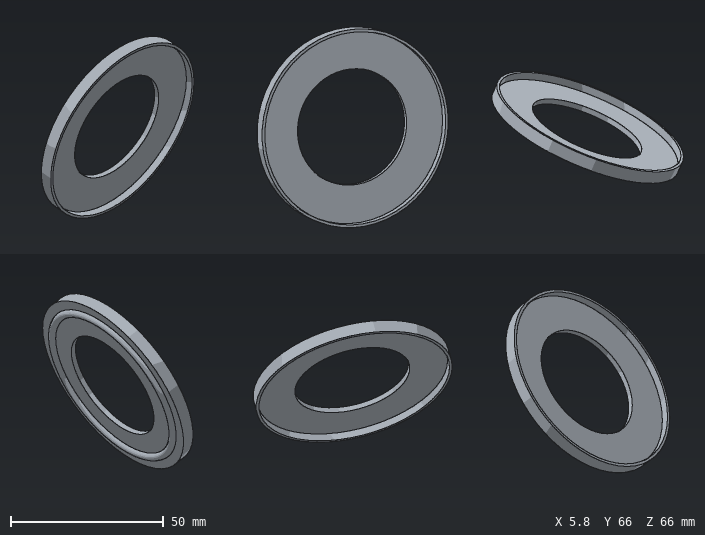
import cadquery as cq

outer_radius = 33.0
bore_radius = 19.3
rim_thickness = 4.4
bore_length = 2.0
cone_rise = 0.2
rim_width = 1.0

bead_height = 1.4
bead_outer_radius = 29.6
bead_inner_radius = 26.8
bead_wall = 0.2

bead_middle_radius = (bead_outer_radius + bead_inner_radius) / 2
recess_radius = outer_radius - rim_width
recess_floor_x = bore_length - cone_rise

section = (
    cq.Workplane("XY")
    .moveTo(-cone_rise, bore_radius)
    .lineTo(0, bead_inner_radius)
    .lineTo(-bead_wall, bead_inner_radius)
    .threePointArc((-bead_height, bead_middle_radius), (-bead_wall, bead_outer_radius))
    .lineTo(0, bead_outer_radius)
    .lineTo(0, outer_radius)
    .lineTo(rim_thickness, outer_radius)
    .lineTo(rim_thickness, recess_radius)
    .lineTo(recess_floor_x, recess_radius)
    .lineTo(recess_floor_x, bore_radius)
    .close()
)

result = section.revolve(360, (0, 0, 0), (1, 0, 0))